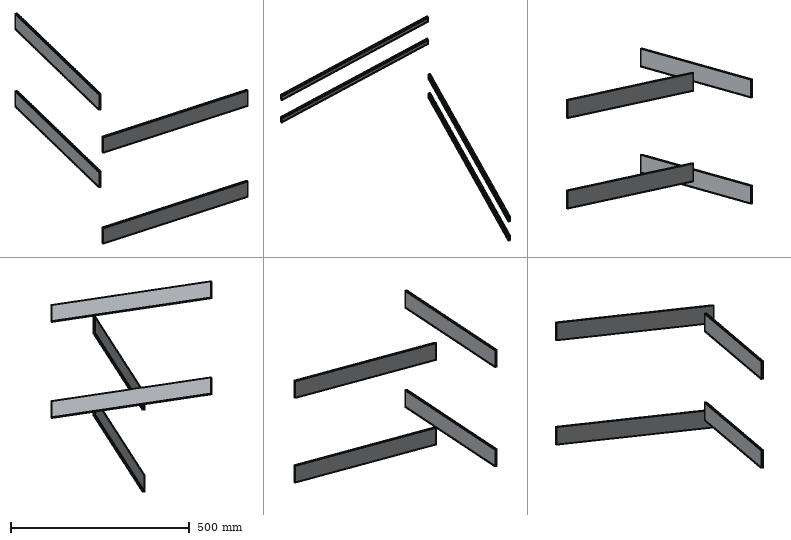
import cadquery as cq

overall_x = 620.0
overall_z = 387.5

slat_length = 467.0
slat_height = 51.5
slat_thickness = 5.5

crosswise_y = 75.0
crosswise_bottoms = [75.0, overall_z - slat_height]
lengthwise_x = overall_x - slat_thickness
lengthwise_bottoms = [0.0, 306.0]


def make_crosswise_slat(bottom):
    """Upright slat running along X."""
    return cq.Workplane("XY").box(
        slat_length, slat_thickness, slat_height, centered=False
    ).translate((0, crosswise_y, bottom))


def make_lengthwise_slat(bottom):
    """Upright slat running along Y."""
    return cq.Workplane("XY").box(
        slat_thickness, slat_length, slat_height, centered=False
    ).translate((lengthwise_x, 0, bottom))


crosswise_slats = [make_crosswise_slat(bottom).val() for bottom in crosswise_bottoms]
lengthwise_slats = [make_lengthwise_slat(bottom).val() for bottom in lengthwise_bottoms]

result = cq.Compound.makeCompound([*crosswise_slats, *lengthwise_slats])